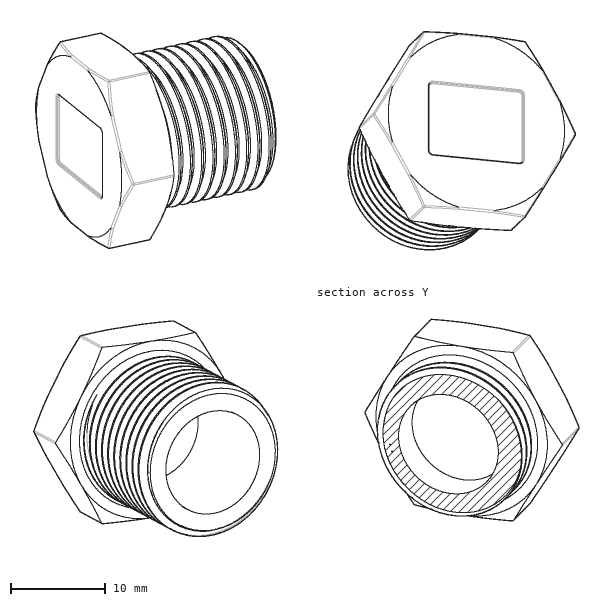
import cadquery as cq
import math

ACROSS_FLATS = 19.5
HEAD_HEIGHT = 6.0
CORNER_ROUND = 0.2
FRONT_EDGE_ROUND = 0.2
FRONT_CIRCLE_RADIUS = 9.78
BACK_CIRCLE_RADIUS = ACROSS_FLATS / 2
FRONT_BEVEL_ANGLE = 22.0
BACK_BEVEL_ANGLE = 20.0

RECESS_WIDTH = 10.5
RECESS_HEIGHT = 8.05
RECESS_DEPTH = 0.3
RECESS_CORNER = 0.5
RECESS_EDGE_ROUND = 0.1

TOTAL_LENGTH = 19.5
THREAD_MAJOR_DIAMETER = 16.66
THREAD_MAJOR_RADIUS = THREAD_MAJOR_DIAMETER / 2
MM_PER_INCH = 25.4
THREADS_PER_INCH = 19
PITCH = MM_PER_INCH / THREADS_PER_INCH
FLANK_HALF_ANGLE = math.radians(27.5)
THREAD_DEPTH = 0.6403 * PITCH
THREAD_ROOT_RADIUS = THREAD_MAJOR_RADIUS - THREAD_DEPTH
CREST_WIDTH = PITCH / 6
ROOT_OVERLAP = 0.1
CREST_DISTANCE_FROM_END = 1.46
END_CHAMFER = 0.9

COLLAR_RADIUS = 8.65
COLLAR_LENGTH = COLLAR_RADIUS - THREAD_ROOT_RADIUS

BORE_DIAMETER = 11.3
BORE_DEPTH = TOTAL_LENGTH - HEAD_HEIGHT


def revolve_about_y(points):
    """Solid of revolution about Y from (radius, y) points."""
    return cq.Workplane("XY").polyline(points).close().revolve(360, (0, 0, 0), (0, 1, 0))


def plane_at_y(start):
    """Workplane parallel to XZ at the given Y; a positive extrusion runs toward -Y."""
    return cq.Workplane("XZ", origin=(0, start, 0))


def hex_head():
    corner_radius = ACROSS_FLATS / math.sqrt(3)
    head = plane_at_y(0).polygon(6, 2 * corner_radius).extrude(-HEAD_HEIGHT)
    head = head.edges("|Y").fillet(CORNER_ROUND)

    front_reach = corner_radius - FRONT_CIRCLE_RADIUS
    back_reach = corner_radius - BACK_CIRCLE_RADIUS
    front_drop = front_reach * math.tan(math.radians(FRONT_BEVEL_ANGLE))
    back_drop = back_reach * math.tan(math.radians(BACK_BEVEL_ANGLE))
    bevel_envelope = revolve_about_y([
        (0, 0),
        (FRONT_CIRCLE_RADIUS, 0),
        (corner_radius, front_drop),
        (corner_radius, HEAD_HEIGHT - back_drop),
        (BACK_CIRCLE_RADIUS, HEAD_HEIGHT),
        (0, HEAD_HEIGHT),
    ])
    head = head.intersect(bevel_envelope)
    return round_front_rim(head)


def round_front_rim(head):
    """Round the edges where the side faces meet the outer face and its bevels."""
    side_faces = head.faces("#Y")
    outer_end = cq.selectors.BoxSelector(
        (-ACROSS_FLATS, -HEAD_HEIGHT / 2, -ACROSS_FLATS),
        (ACROSS_FLATS, HEAD_HEIGHT / 3, ACROSS_FLATS),
    )
    return side_faces.edges(outer_end).fillet(FRONT_EDGE_ROUND)


def cut_label_recess(head):
    recess = plane_at_y(0).rect(RECESS_WIDTH, RECESS_HEIGHT).extrude(-RECESS_DEPTH)
    recess = recess.edges("|Y").fillet(RECESS_CORNER)
    recess = recess.faces(">Y").edges().fillet(RECESS_EDGE_ROUND)
    head = head.cut(recess)
    mouth = head.faces("<Y").wires(cq.selectors.LengthNthSelector(0))
    return mouth.edges().fillet(RECESS_EDGE_ROUND)


def thread_ridge():
    """Right-handed helical ridge about Y, longer than the shank at both ends."""
    base_radius = THREAD_ROOT_RADIUS - ROOT_OVERLAP
    half_crest = CREST_WIDTH / 2
    half_base = half_crest + (THREAD_DEPTH + ROOT_OVERLAP) * math.tan(FLANK_HALF_ANGLE)
    turns = math.ceil((TOTAL_LENGTH - HEAD_HEIGHT) / PITCH) + 1
    helix = cq.Wire.makeHelix(PITCH, turns * PITCH, base_radius)
    profile = cq.Workplane("XZ").polyline([
        (base_radius, -half_base),
        (THREAD_MAJOR_RADIUS, -half_crest),
        (THREAD_MAJOR_RADIUS, half_crest),
        (base_radius, half_base),
    ]).close()
    ridge = profile.sweep(cq.Workplane(helix), isFrenet=True)

    ridge = ridge.rotate((0, 0, 0), (1, 0, 0), -90)
    ridge = ridge.rotate((0, 0, 0), (0, 1, 0), -90)
    last_crest = TOTAL_LENGTH - CREST_DISTANCE_FROM_END
    ridge_end = last_crest + 2 * PITCH
    return ridge.translate((0, ridge_end - turns * PITCH, 0))


def threaded_shank():
    core = revolve_about_y([
        (0, HEAD_HEIGHT),
        (THREAD_ROOT_RADIUS, HEAD_HEIGHT),
        (THREAD_ROOT_RADIUS, TOTAL_LENGTH),
        (0, TOTAL_LENGTH),
    ])
    envelope_radius = THREAD_MAJOR_RADIUS + ROOT_OVERLAP
    thread_limits = revolve_about_y([
        (0, HEAD_HEIGHT),
        (envelope_radius, HEAD_HEIGHT),
        (envelope_radius, TOTAL_LENGTH - END_CHAMFER),
        (envelope_radius - END_CHAMFER, TOTAL_LENGTH),
        (0, TOTAL_LENGTH),
    ])
    return core.union(thread_ridge().intersect(thread_limits))


def collar():
    return revolve_about_y([
        (0, HEAD_HEIGHT),
        (COLLAR_RADIUS, HEAD_HEIGHT),
        (THREAD_ROOT_RADIUS, HEAD_HEIGHT + COLLAR_LENGTH),
        (0, HEAD_HEIGHT + COLLAR_LENGTH),
    ])


def bore():
    return plane_at_y(TOTAL_LENGTH).circle(BORE_DIAMETER / 2).extrude(BORE_DEPTH)


head = cut_label_recess(hex_head())
result = head.union(collar()).union(threaded_shank()).cut(bore())